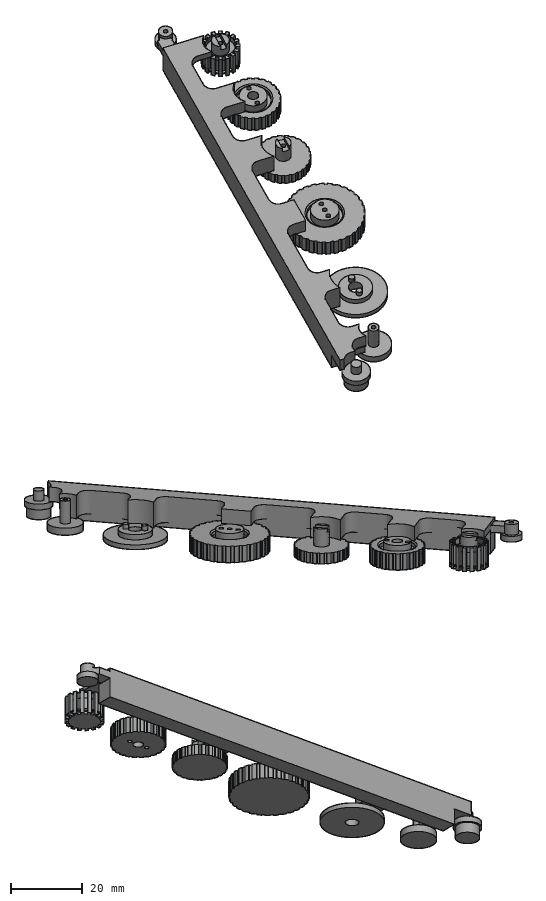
import cadquery as cq
import math

bar_left = 8.6
bar_right = 137.1
bar_depth = 5.1
bar_height = 9.2
stalk_fillet = 2.9
bore_diameter = 1.25
pin_diameter = 3.0
bore_depth = 1.5

wheel_1_at = (12.0, 16.0)
wheel_2_at = (32.3, 17.5)
wheel_3_at = (54.2, wheel_2_at[1])
wheel_4_at = (80.2, 19.2)
wheel_5_at = (108.0, 16.9)
wheel_6_at = (129.0, 13.6)

wheel_1_top = 7.0
wheel_2_top = 4.9
wheel_3_top = 3.1
wheel_4_top = 4.9
wheel_5_top = 1.5
wheel_6_top = 2.1

left_roller_diameter = 6.0
left_roller_at = (left_roller_diameter / 2, 3.1)
left_roller_bottom = 4.3
left_roller_top = 6.0
left_boss_diameter = 4.0
right_flange_diameter = 8.0
right_roller_at = (143 - right_flange_diameter / 2, 4.1)
right_flange_bottom = 3.1
right_flange_top = 4.9


def cylinder(center, diameter, bottom, top):
    """Upright cylinder between two heights."""
    return cq.Workplane("XY", origin=(*center, bottom)).circle(diameter / 2).extrude(top - bottom)


def block(x_range, y_range, z_range):
    """Box given by its extent along each axis."""
    size = [high - low for low, high in (x_range, y_range, z_range)]
    corner = (x_range[0], y_range[0], z_range[0])
    return cq.Workplane("XY").box(*size, centered=False).translate(corner)


def toothed_wheel(center, tip_diameter, root_diameter, teeth, top, root_share=0.68, tip_share=0.54):
    """Spur wheel with straight-sided teeth, one along +Y; the shares are tooth widths over the pitch."""
    pitch = 2 * math.pi / teeth
    flank_points = (
        (root_diameter / 2, -root_share / 2),
        (tip_diameter / 2, -tip_share / 2),
        (tip_diameter / 2, tip_share / 2),
        (root_diameter / 2, root_share / 2),
    )
    outline = []
    for tooth in range(teeth):
        for radius, pitch_share in flank_points:
            angle = math.pi / 2 + (tooth + pitch_share) * pitch
            outline.append((radius * math.cos(angle), radius * math.sin(angle)))
    return cq.Workplane("XY", origin=(*center, 0)).polyline(outline).close().extrude(top)


def slotted_hub(center, diameter, bottom, top, slot_width, slot_depth):
    """Hub with a screwdriver slot along X and a blind bore in the slot floor."""
    x, y = center
    slot_floor = top - slot_depth
    slot = block(
        (x - diameter, x + diameter),
        (y - slot_width / 2, y + slot_width / 2),
        (slot_floor, top),
    )
    bore = cylinder(center, bore_diameter, slot_floor - bore_depth, top)
    return cylinder(center, diameter, bottom, top).cut(slot).cut(bore)


def ring_recess(center, hub_diameter, top):
    """Annular recess around a hub, widened by a chamfer at its rim."""
    wall_diameter = 10.2
    rim_diameter = 11.0
    depth = 1.5
    chamfer = (rim_diameter - wall_diameter) / 2
    pocket = cylinder(center, wall_diameter, top - depth, top)
    rim = (
        cq.Workplane("XY", origin=(*center, top - chamfer))
        .circle(wall_diameter / 2)
        .workplane(offset=chamfer)
        .circle(rim_diameter / 2)
        .loft(ruled=True)
    )
    return pocket.union(rim).cut(cylinder(center, hub_diameter, top - depth, top))


def make_stalk(wheel_at, left, right, bottom, end_radius, end_y, left_fillet=True):
    """Stalk from the bar over a wheel, ending in an arc concentric with the wheel or flat at end_y."""
    r = stalk_fillet
    diagonal = r * (1 - math.sqrt(0.5))
    root_y = bar_depth + r
    outline = cq.Workplane("XY", origin=(0, 0, bottom)).moveTo(left, 0)
    if left_fillet:
        outline = (
            outline.lineTo(left - r, 0)
            .lineTo(left - r, bar_depth)
            .threePointArc((left - diagonal, bar_depth + diagonal), (left, root_y))
        )
    outline = (
        outline.lineTo(left, end_y)
        .lineTo(right, end_y)
        .lineTo(right, root_y)
        .threePointArc((right + diagonal, bar_depth + diagonal), (right + r, bar_depth))
        .lineTo(right + r, 0)
        .close()
    )
    stalk = outline.extrude(bar_height - bottom)
    if end_radius:
        stalk = stalk.cut(cylinder(wheel_at, 2 * end_radius, bottom, bar_height))
    return stalk


def make_stalks():
    """The six stalks; each rests on the top face of its wheel."""
    flat_end_y = 11.6
    first_right = 15.2
    first_end_radius = 5.0
    stalks = make_stalk(
        wheel_1_at, bar_left, first_right, wheel_1_top, first_end_radius, wheel_1_at[1], left_fillet=False
    )
    for wheel_at, half_width, bottom, end_radius in (
        (wheel_2_at, 3.9, wheel_2_top, 5.6),
        (wheel_3_at, 4.3, wheel_3_top, 6.3),
        (wheel_4_at, 4.3, wheel_4_top, None),
        (wheel_5_at, 3.7, wheel_5_top, 7.3),
        (wheel_6_at, 2.5, wheel_6_top, 4.1),
    ):
        x, y = wheel_at
        end_y = y if end_radius else flat_end_y
        stalk = make_stalk(wheel_at, x - half_width, x + half_width, bottom, end_radius, end_y)
        stalks = stalks.union(stalk)
    return stalks


def make_bar():
    """Bar and stalks, stepped at the right end and cleared around the right roller."""
    step_left = 131.1
    clearance_diameter = 6.9
    bar = block((bar_left, bar_right), (0, bar_depth), (0, bar_height)).union(make_stalks())
    bar = bar.cut(block((step_left, bar_right), (0, wheel_6_at[1]), (0, right_flange_top)))
    return bar.cut(cylinder(right_roller_at, clearance_diameter, 0, bar_height))


def make_wheel_1():
    """Pinion with a thin web between its teeth and a slotted hub standing in a recess."""
    recess_floor = wheel_1_top - 1.7
    web_bottom = 0.9
    web_top = 1.3
    web_diameter = 10.6
    recess_diameter = 8.5
    wheel = toothed_wheel(
        wheel_1_at,
        tip_diameter=11.0,
        root_diameter=9.0,
        teeth=16,
        top=wheel_1_top,
        root_share=0.5,
        tip_share=0.5,
    )
    wheel = wheel.union(cylinder(wheel_1_at, web_diameter, web_bottom, web_top))
    wheel = wheel.cut(cylinder(wheel_1_at, recess_diameter, recess_floor, wheel_1_top))
    hub = slotted_hub(
        wheel_1_at, diameter=5.0, bottom=recess_floor, top=bar_height, slot_width=1.7, slot_depth=1.3
    )
    return wheel.union(hub)


def make_wheel_2():
    """Wheel with a recessed hub, a through bore and two small through holes."""
    hub_diameter = 7.9
    hole_offset = 3.0
    x, y = wheel_2_at
    hub_top = 6.0
    center_bore_diameter = 3.0
    wheel = toothed_wheel(wheel_2_at, tip_diameter=15.6, root_diameter=15.0, teeth=24, top=wheel_2_top)
    wheel = wheel.cut(ring_recess(wheel_2_at, hub_diameter, wheel_2_top))
    wheel = wheel.union(cylinder(wheel_2_at, hub_diameter, 0, hub_top))
    wheel = wheel.cut(cylinder(wheel_2_at, center_bore_diameter, 0, hub_top))
    for side in (-1, 1):
        wheel = wheel.cut(cylinder((x + side * hole_offset, y), bore_diameter, 0, hub_top))
    return wheel


def make_wheel_3():
    """Low wheel with a tall slotted hub."""
    wheel = toothed_wheel(wheel_3_at, tip_diameter=15.5, root_diameter=15.0, teeth=24, top=wheel_3_top)
    hub = slotted_hub(
        wheel_3_at, diameter=4.5, bottom=wheel_3_top, top=8.5, slot_width=2.0, slot_depth=1.1
    )
    return wheel.union(hub)


def make_wheel_4():
    """Largest wheel, with a recessed hub and three blind holes in a row."""
    hub_diameter = 8.0
    hub_top = 6.1
    hole_pitch = 2.5
    x, y = wheel_4_at
    wheel = toothed_wheel(wheel_4_at, tip_diameter=22.6, root_diameter=22.0, teeth=30, top=wheel_4_top)
    wheel = wheel.cut(ring_recess(wheel_4_at, hub_diameter, wheel_4_top))
    wheel = wheel.union(cylinder(wheel_4_at, hub_diameter, 0, hub_top))
    for place in (-1, 0, 1):
        hole_at = (x + place * hole_pitch, y)
        wheel = wheel.cut(cylinder(hole_at, bore_diameter, hub_top - bore_depth, hub_top))
    return wheel


def make_wheel_5():
    """Plain disc with a raised hub, two pins and a through bore."""
    hub_top = 3.0
    pin_top = 4.5
    pin_offset = 2.7
    x, y = wheel_5_at
    disc_diameter = 18.0
    hub_diameter = 9.6
    small_pin_diameter = 1.7
    center_bore_diameter = 3.9
    wheel = cylinder(wheel_5_at, disc_diameter, 0, wheel_5_top)
    wheel = wheel.union(cylinder(wheel_5_at, hub_diameter, 0, hub_top))
    for side in (-1, 1):
        pin_at = (x + side * pin_offset, y)
        wheel = wheel.union(cylinder(pin_at, small_pin_diameter, hub_top, pin_top))
    return wheel.cut(cylinder(wheel_5_at, center_bore_diameter, 0, pin_top))


def make_wheel_6():
    """Plain disc with a tall bored pin."""
    pin_top = 8.9
    disc_diameter = 10.2
    wheel = cylinder(wheel_6_at, disc_diameter, 0, wheel_6_top)
    wheel = wheel.union(cylinder(wheel_6_at, pin_diameter, 0, pin_top))
    return wheel.cut(cylinder(wheel_6_at, bore_diameter, pin_top - bore_depth, pin_top))


def make_left_roller():
    """Disc with a bored boss, held by an arm that flares out of the bar end."""
    arm_top = 8.2
    arm_depth = 4.0
    arm_tip = 4.7
    arm_fillet = 0.7
    flare_radius = 1.7
    x, y = left_roller_at
    boss_edge = y - left_boss_diameter / 2
    roller = cylinder(left_roller_at, left_roller_diameter, left_roller_bottom, left_roller_top)
    roller = roller.union(cylinder(left_roller_at, left_boss_diameter, left_roller_top, bar_height))
    arm = (
        cq.Workplane("XY", origin=(0, 0, left_roller_top))
        .moveTo(arm_tip, 0)
        .radiusArc((x, boss_edge), -flare_radius)
        .lineTo(x, y)
        .lineTo(arm_tip, arm_depth)
        .lineTo(bar_left - arm_fillet, arm_depth)
        .radiusArc((bar_left, arm_depth + arm_fillet), -arm_fillet)
        .lineTo(bar_left, 0)
        .close()
        .extrude(arm_top - left_roller_top)
    )
    bore = cylinder(left_roller_at, bore_diameter, bar_height - bore_depth, bar_height)
    return roller.union(arm).cut(bore)


def make_right_roller():
    """Flanged roller with a pin on top."""
    pin_top = 7.9
    roller_diameter = 6.9
    roller = cylinder(right_roller_at, roller_diameter, 0, right_flange_bottom)
    flange = cylinder(right_roller_at, right_flange_diameter, right_flange_bottom, right_flange_top)
    pin = cylinder(right_roller_at, pin_diameter, right_flange_top, pin_top)
    return roller.union(flange).union(pin)


result = make_bar()
for part in (
    make_wheel_1(),
    make_wheel_2(),
    make_wheel_3(),
    make_wheel_4(),
    make_wheel_5(),
    make_wheel_6(),
    make_left_roller(),
    make_right_roller(),
):
    result = result.union(part)